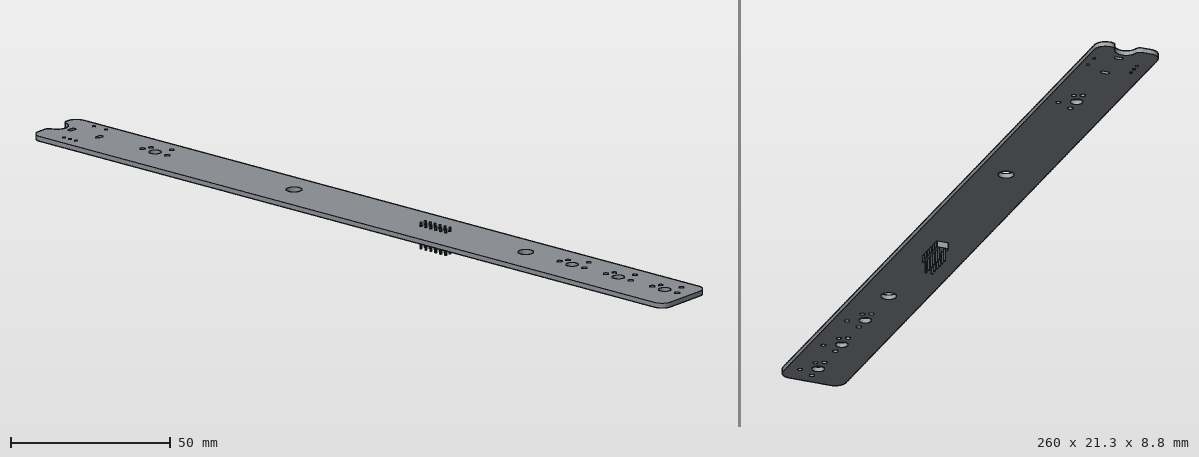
import cadquery as cq

BOARD_LENGTH = 260.0
BOARD_WIDTH = 21.3
BOARD_THICKNESS = 1.6
CORNER_RADIUS = 3.6
NOTCH_RADIUS = 3.6
NOTCH_INSET = 0.5
NOTCH_LIP_RADIUS = 1.8

ROW_LENGTH = 238.2
SWITCH_STEPS = (1.5, 10.5, 11.5, 12.5)
MOUNTING_STEPS = (4.5, 9.5)
KEY_PITCH = ROW_LENGTH / SWITCH_STEPS[-1]
ENCODER_X = BOARD_LENGTH / 2 - KEY_PITCH / 2 - ROW_LENGTH
ROW_Y = 1.2

MOUNTING_DIAMETER = 5.0

SWITCH_CENTRE_DIAMETER = 4.0
SWITCH_PEG_DIAMETER = 1.7
SWITCH_PIN_DIAMETER = 1.5
SWITCH_GRID = 1.27
SWITCH_PEG_OFFSET = 4 * SWITCH_GRID
SWITCH_PINS = ((-3 * SWITCH_GRID, 2 * SWITCH_GRID), (2 * SWITCH_GRID, 4 * SWITCH_GRID))

ENCODER_PIN_DIAMETER = 1.0
ENCODER_PIN_PITCH = 2.5
ENCODER_SIGNAL_OFFSET = -7.5
ENCODER_BUTTON_OFFSET = 7.0
ENCODER_SLOT_SPACING = 11.2
ENCODER_SLOT_LENGTH = 2.9
ENCODER_SLOT_WIDTH = 1.5

HEADER_COLUMNS = 6
HEADER_ROWS = 2
HEADER_PITCH = 2.03
FIRST_COLUMN_X = 21.5
HEADER_X = FIRST_COLUMN_X + (HEADER_COLUMNS - 1) * HEADER_PITCH / 2
HEADER_Y = 0.68
HEADER_HEIGHT = 8.8
HEADER_HOLE_DIAMETER = 0.8
HOUSING_HEIGHT = 2.0
HOUSING_CHAMFER = 0.3
PIN_SIDE = 0.5
PIN_TIP_CHAMFER = 0.13
PIN_RISE = 1.2


def step_x(step):
    """X of a place on the key row, counted in key pitches from the encoder."""
    return ENCODER_X + step * KEY_PITCH


def drill(board, points, diameter):
    """Cut round through holes at the given points."""
    holes = cq.Workplane("XY").pushPoints(points).circle(diameter / 2).extrude(BOARD_THICKNESS)
    return board.cut(holes)


def header_points():
    """Workplane holding the pin positions of the header."""
    grid = cq.Workplane("XY").center(HEADER_X, HEADER_Y)
    return grid.rarray(HEADER_PITCH, HEADER_PITCH, HEADER_COLUMNS, HEADER_ROWS)


def make_blank():
    """Plate with rounded corners and a round notch, with rounded lips, in its left end."""
    blank = cq.Workplane("XY").box(BOARD_LENGTH, BOARD_WIDTH, BOARD_THICKNESS, centered=(True, True, False))
    blank = blank.edges("|Z").fillet(CORNER_RADIUS)

    left_x = -BOARD_LENGTH / 2
    notch_x = left_x + NOTCH_INSET
    notch = cq.Workplane("XY").center(notch_x, ROW_Y).circle(NOTCH_RADIUS).extrude(BOARD_THICKNESS)
    lips = cq.selectors.BoxSelector(
        (left_x - NOTCH_INSET, ROW_Y - NOTCH_RADIUS, 0),
        (notch_x, ROW_Y + NOTCH_RADIUS, BOARD_THICKNESS),
    )
    return blank.cut(notch).edges("|Z").edges(lips).fillet(NOTCH_LIP_RADIUS)


def cut_switch(board, x):
    """Centre hole, a peg hole on each side and two pin holes towards +Y."""
    board = drill(board, [(x, ROW_Y)], SWITCH_CENTRE_DIAMETER)
    pegs = [(x - SWITCH_PEG_OFFSET, ROW_Y), (x + SWITCH_PEG_OFFSET, ROW_Y)]
    board = drill(board, pegs, SWITCH_PEG_DIAMETER)
    pins = [(x + dx, ROW_Y + dy) for dx, dy in SWITCH_PINS]
    return drill(board, pins, SWITCH_PIN_DIAMETER)


def cut_encoder(board):
    """Three signal pins towards -Y, two button pins towards +Y and a fixing slot on each side."""
    signal_pins = [(ENCODER_X + i * ENCODER_PIN_PITCH, ROW_Y + ENCODER_SIGNAL_OFFSET) for i in (-1, 0, 1)]
    button_pins = [(ENCODER_X + i * ENCODER_PIN_PITCH, ROW_Y + ENCODER_BUTTON_OFFSET) for i in (-1, 1)]
    board = drill(board, signal_pins + button_pins, ENCODER_PIN_DIAMETER)
    slots = (
        cq.Workplane("XY")
        .pushPoints([(ENCODER_X + side * ENCODER_SLOT_SPACING / 2, ROW_Y) for side in (-1, 1)])
        .slot2D(ENCODER_SLOT_LENGTH, ENCODER_SLOT_WIDTH, 90)
        .extrude(BOARD_THICKNESS)
    )
    return board.cut(slots)


def make_board():
    board = make_blank()
    for step in SWITCH_STEPS:
        board = cut_switch(board, step_x(step))
    board = cut_encoder(board)
    board = drill(board, [(step_x(step), ROW_Y) for step in MOUNTING_STEPS], MOUNTING_DIAMETER)
    header_holes = header_points().circle(HEADER_HOLE_DIAMETER / 2).extrude(BOARD_THICKNESS)
    return board.cut(header_holes)


def make_header():
    """Housing under the board, notched between columns, with square pins through the board."""
    housing_width = HEADER_ROWS * HEADER_PITCH
    segment = (
        cq.Workplane("XY")
        .box(HEADER_PITCH, housing_width, HOUSING_HEIGHT, centered=(True, True, False))
        .edges("|Z")
        .chamfer(HOUSING_CHAMFER)
    )
    header = cq.Workplane("XY")
    for column in range(HEADER_COLUMNS):
        column_x = FIRST_COLUMN_X + column * HEADER_PITCH
        header = header.union(segment.translate((column_x, HEADER_Y, -HOUSING_HEIGHT)))

    pin_top = BOARD_THICKNESS + PIN_RISE
    pins = (
        header_points()
        .rect(PIN_SIDE, PIN_SIDE)
        .extrude(HEADER_HEIGHT)
        .faces("<Z or >Z")
        .chamfer(PIN_TIP_CHAMFER)
        .translate((0, 0, pin_top - HEADER_HEIGHT))
    )
    return header.union(pins)


board = make_board()
header = make_header()
result = cq.Compound.makeCompound([board.solids().val(), header.solids().val()])